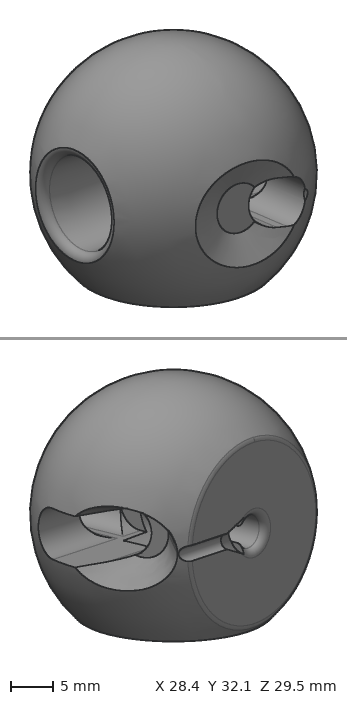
import cadquery as cq
import math

BALL_R = 17.0
FLAT_DIST = 12.5
FLAT_EDGE_FILLET = 0.8

BORE_RIM_Y = -15.45
BORE_RIM_R = math.sqrt(BALL_R**2 - BORE_RIM_Y**2)
BORE_LIP = 1.15
BORE_MOUTH_R = BORE_RIM_R - BORE_LIP
BORE_END_R = 5.05
BORE_END_Y = 4.5

PASSAGE_R = 3.15
SLOT_LEFT_X = -3.45
SLOT_RIGHT_X = 8.35
SIDE_SLOT_NEAR_Y = 0.0
SIDE_SLOT_FAR_Y = 7.38

BACK_FLARE_ANGLE = 107.0
BACK_FLARE_HALF = (7.7, 5.13)
BACK_FLARE_SPAN = (8.65, 16.05)
SIDE_FLARE_ANGLE = -6.0
SIDE_FLARE_HALF = (8.65, 6.75)
SIDE_FLARE_SPAN = (13.47, 15.72)
CUT_OVERRUN = 1.92

CORD_HOLE_R = 2.05
CORD_LIP = 0.95
GROOVE_R = 0.95
SIDE_GROOVE_X = 15.98
FUNNEL_NEAR_Y = 1.75
FUNNEL_FAR_Y = 4.8
FUNNEL_R = 2.25


def make_ball():
    size = 2 * BALL_R
    block = cq.Workplane("XY").box(size, size, size, centered=False)
    block = block.translate((-FLAT_DIST, -BALL_R, -FLAT_DIST))
    ball = cq.Workplane("XY").sphere(BALL_R).intersect(block)
    return ball.faces("<X or <Z").edges().fillet(FLAT_EDGE_FILLET)


def make_lipped_bore(mouth_r, lip, length, end_r):
    """Tapered bore along +Y from the origin, with a quarter-round lip at its mouth."""
    mid = lip * (1 - math.sqrt(0.5))
    return (
        cq.Workplane("XY")
        .moveTo(0, -CUT_OVERRUN)
        .lineTo(mouth_r + lip, -CUT_OVERRUN)
        .lineTo(mouth_r + lip, 0)
        .threePointArc((mouth_r + mid, mid), (mouth_r, lip))
        .lineTo(end_r, length)
        .lineTo(0, length)
        .close()
        .revolve(360, (0, 0, 0), (0, 1, 0))
    )


def make_main_bore():
    bore = make_lipped_bore(BORE_MOUTH_R, BORE_LIP, BORE_END_Y - BORE_RIM_Y, BORE_END_R)
    return bore.translate((0, BORE_RIM_Y, 0))


def make_cord_hole():
    hole = make_lipped_bore(CORD_HOLE_R, CORD_LIP, FLAT_DIST, CORD_HOLE_R)
    return hole.rotate((0, 0, 0), (0, 0, 1), -90).translate((-FLAT_DIST, 0, 0))


def make_back_slot():
    width = SLOT_RIGHT_X - SLOT_LEFT_X
    slot = cq.Workplane("XZ").slot2D(width, 2 * PASSAGE_R).extrude(-BALL_R)
    return slot.translate(((SLOT_LEFT_X + SLOT_RIGHT_X) / 2, 0, 0))


def make_side_slot():
    width = SIDE_SLOT_FAR_Y - SIDE_SLOT_NEAR_Y
    slot = cq.Workplane("YZ").slot2D(width, 2 * PASSAGE_R).extrude(BALL_R)
    return slot.translate((0, (SIDE_SLOT_NEAR_Y + SIDE_SLOT_FAR_Y) / 2, 0))


def make_flare(angle, half_sizes, span):
    """Elliptical funnel pointing radially outwards at an angle about Z."""
    start, end = span
    width, height = half_sizes
    funnel = (
        cq.Workplane("YZ", origin=(start, 0, 0))
        .ellipse(PASSAGE_R, PASSAGE_R)
        .workplane(offset=end - start)
        .ellipse(width, height)
        .loft(ruled=True)
    )
    mouth = cq.Workplane("YZ", origin=(end, 0, 0)).ellipse(width, height).extrude(CUT_OVERRUN)
    return funnel.union(mouth).rotate((0, 0, 0), (0, 0, 1), angle)


def make_groove(x, y_start):
    """Round-bottomed cord groove along +Y."""
    return cq.Workplane("XZ", origin=(x, y_start, 0)).circle(GROOVE_R).extrude(y_start - BALL_R)


def make_groove_funnel():
    """Cone widening the cord groove where it meets the cord hole."""
    return (
        cq.Workplane("XZ", origin=(-FLAT_DIST, FUNNEL_NEAR_Y, 0))
        .circle(FUNNEL_R)
        .workplane(offset=FUNNEL_NEAR_Y - FUNNEL_FAR_Y)
        .circle(GROOVE_R)
        .loft(ruled=True)
    )


result = make_ball()
cutters = [
    make_main_bore(),
    make_cord_hole(),
    make_back_slot(),
    make_side_slot(),
    make_flare(BACK_FLARE_ANGLE, BACK_FLARE_HALF, BACK_FLARE_SPAN),
    make_flare(SIDE_FLARE_ANGLE, SIDE_FLARE_HALF, SIDE_FLARE_SPAN),
    make_groove(-FLAT_DIST, 0),
    make_groove_funnel(),
    make_groove(SIDE_GROOVE_X, -BALL_R),
]
for cutter in cutters:
    result = result.cut(cutter)